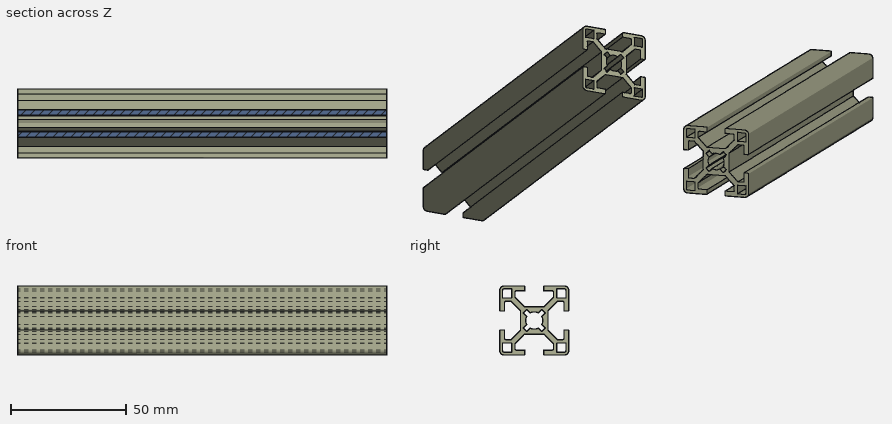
import cadquery as cq
import math

length = 160.0
side = 30.0
outer_radius = 2.0

slot_mouth = 8.2
lip_thickness = 2.2
lip_edge_radius = 0.45
chamber_width = 16.5
chamber_corner_radius = 0.5
core_width = 12.0
web_thickness = 2.55

hollow_size = 3.9
hollow_wall = 1.35
hollow_corner_radius = 0.5

bore_diameter = 7.35
relief_width = 2.0
relief_span = 11.2

half_side = side / 2
QUARTER_TURNS = (0, 90, 180, 270)
DIAGONALS = (45, 135)


def prism(sketch):
    """Extrude a YZ sketch over the whole length, centred on X = 0."""
    return sketch.extrude(length / 2, both=True)


def around_axis(shape):
    """Yield four copies of a shape, a quarter turn apart about the X axis."""
    for angle in QUARTER_TURNS:
        yield shape.rotate((0, 0, 0), (1, 0, 0), angle)


def make_bar():
    bar = prism(cq.Workplane("YZ").rect(side, side))
    return bar.edges("|X").fillet(outer_radius)


def make_slot():
    """T-slot opening on the +Z face, including the rounding of its lips."""
    half_mouth = slot_mouth / 2
    half_chamber = chamber_width / 2
    floor = core_width / 2
    ceiling = half_side - lip_thickness
    flank_offset = web_thickness / math.sqrt(2)
    half_floor = floor - flank_offset
    flank_top = half_chamber + flank_offset

    chamber = prism(
        cq.Workplane("YZ").polyline([
            (-half_floor, floor),
            (half_floor, floor),
            (half_chamber, flank_top),
            (half_chamber, ceiling),
            (-half_chamber, ceiling),
            (-half_chamber, flank_top),
        ]).close()
    )
    chamber = chamber.edges("|X and >Z").fillet(chamber_corner_radius)

    round_start = half_side - lip_edge_radius
    round_end = half_mouth + lip_edge_radius
    mouth = prism(
        cq.Workplane("YZ")
        .moveTo(-half_mouth, flank_top)
        .lineTo(half_mouth, flank_top)
        .lineTo(half_mouth, round_start)
        .radiusArc((round_end, half_side), lip_edge_radius)
        .lineTo(-round_end, half_side)
        .radiusArc((-half_mouth, round_start), lip_edge_radius)
        .close()
    )
    return chamber.union(mouth)


def make_corner_hollow():
    centre = half_side - hollow_wall - hollow_size / 2
    hollow = prism(cq.Workplane("YZ").center(centre, centre).rect(hollow_size, hollow_size))
    return hollow.faces(">Z").edges(">Y").fillet(hollow_corner_radius)


def make_core_opening():
    opening = prism(cq.Workplane("YZ").circle(bore_diameter / 2))
    relief = prism(cq.Workplane("YZ").rect(relief_span, relief_width))
    for angle in DIAGONALS:
        opening = opening.union(relief.rotate((0, 0, 0), (1, 0, 0), angle))
    return opening


result = make_bar()
for slot in around_axis(make_slot()):
    result = result.cut(slot)
for hollow in around_axis(make_corner_hollow()):
    result = result.cut(hollow)
result = result.cut(make_core_opening())